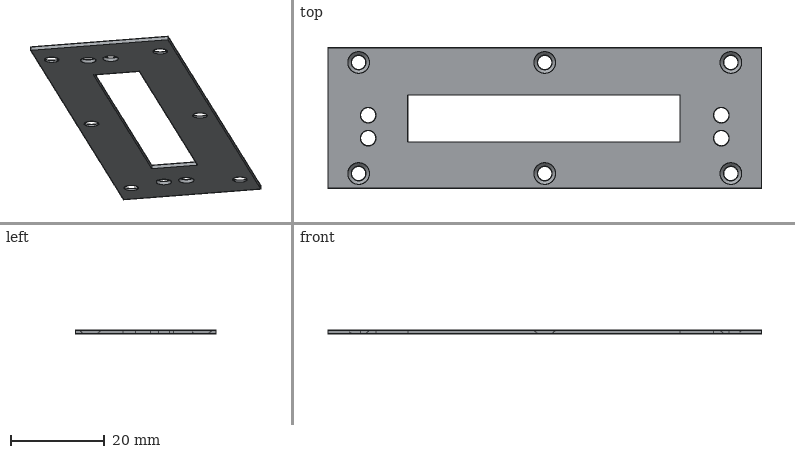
import cadquery as cq

length = 92.5
width = 30.0
thickness = 0.8

window_length = 58.0
window_width = 10.0
window_center_x = -0.2
window_center_y = -0.1

screw_pitch_x = 39.7
screw_row_y = 11.8
screw_diameter = 3.0
countersink_diameter = 4.6
countersink_angle = 90.0

pair_x = 37.7
pair_pitch_y = 4.9
pair_center_y = -1.85
pair_diameter = 3.2

top_plane = cq.Workplane("XY", origin=(0, 0, thickness))
screw_points = [
    (column * screw_pitch_x, row * screw_row_y)
    for column in (-1, 0, 1)
    for row in (-1, 1)
]
pair_points = [
    (side * pair_x, pair_center_y + end * pair_pitch_y / 2)
    for side in (-1, 1)
    for end in (-1, 1)
]

plate = cq.Workplane("XY").box(length, width, thickness, centered=(True, True, False))

window = (
    cq.Workplane("XY")
    .center(window_center_x, window_center_y)
    .rect(window_length, window_width)
    .extrude(thickness)
)

result = (
    plate.cut(window)
    .copyWorkplane(top_plane)
    .pushPoints(screw_points)
    .cskHole(screw_diameter, countersink_diameter, countersink_angle)
    .copyWorkplane(top_plane)
    .pushPoints(pair_points)
    .hole(pair_diameter)
)